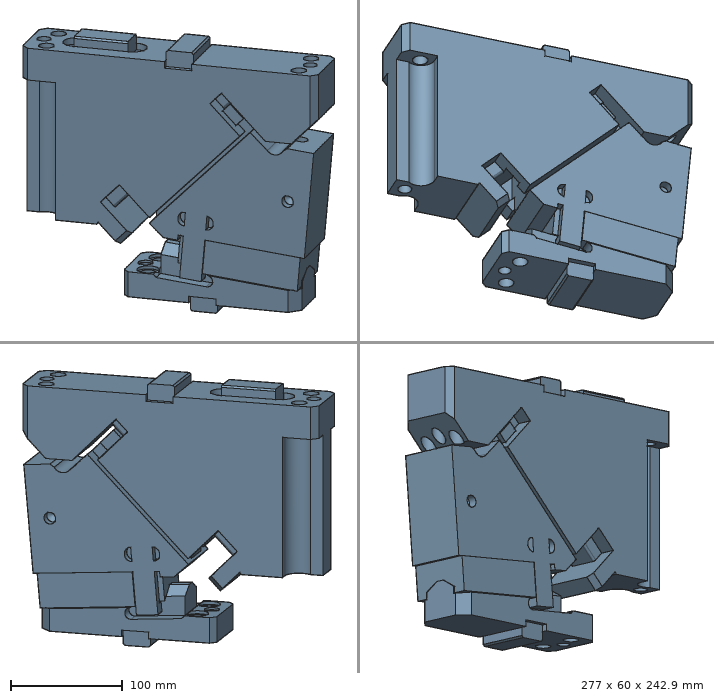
import cadquery as cq
import math


WIDTH = 60.0
SLIDER_WIDTH = 59.8
OUTSIDE = 110.8

KEY_LENGTH = 50.0
KEY_WIDTH = 25.5
KEY_STANDOFF = 9.1
KEY_SEAT_DEPTH = 6.0
KEY_CHAMFER = 1.7

INCLINE_X, INCLINE_Z = 120.5, 85.5
INCLINE_ANGLE = 45.0

TILT_X, TILT_Z = 171.7, 37.5
TILT_ANGLE = -5.0

NECK_HALF_WIDTH = 15.0
HEAD_HALF_WIDTH = 20.5
HEAD_BOTTOM = 9.5
HEAD_TOP = 27.1

RIDGE_HALF_WIDTH = 17.5
RIDGE_FLAT_HALF = 4.2
RIDGE_EAVE = 6.5
ROOF_SLOPE = math.tan(math.radians(30))
RIDGE_TOP = RIDGE_EAVE + (RIDGE_HALF_WIDTH - RIDGE_FLAT_HALF) * ROOF_SLOPE


def turned(origin_x, origin_z, angle, along, up):
    """XZ point of a position given in a frame turned by angle degrees."""
    c = math.cos(math.radians(angle))
    s = math.sin(math.radians(angle))
    return (origin_x + along * c - up * s, origin_z + along * s + up * c)


def incline(along, up):
    return turned(INCLINE_X, INCLINE_Z, INCLINE_ANGLE, along, up)


def tilt(along, up):
    return turned(TILT_X, TILT_Z, TILT_ANGLE, along, up)


def cross_plane(frame, angle, along):
    """Plane square to a frame's direction; its local X is +Y and its local Y is the frame's up."""
    x, z = frame(along, 0)
    direction = (math.cos(math.radians(angle)), 0, math.sin(math.radians(angle)))
    return cq.Plane(origin=(x, 0, z), xDir=(0, 1, 0), normal=direction)


def prism(points, half_width):
    """XZ outline extruded to both sides of Y = 0."""
    return cq.Workplane("XZ").polyline(points).close().extrude(half_width, both=True)


def side_pair(points, inner, outer):
    """The two slabs of a prism that lie between inner and outer distance from Y = 0."""
    return prism(points, outer).cut(prism(points, inner))


def frame_box(frame, along_0, along_1, up_0, up_1):
    """Corner points of a rectangle in a turned frame."""
    return [frame(along_0, up_0), frame(along_1, up_0), frame(along_1, up_1), frame(along_0, up_1)]


def chamfered_plan(x_0, x_1, left_chamfer, right_chamfer):
    """Tall block with the body's plan outline, corners cut at 45 degrees."""
    half = WIDTH / 2
    left_y = half - left_chamfer
    right_y = half - right_chamfer
    points = [(x_0, -left_y), (x_0 + left_chamfer, -half), (x_1 - right_chamfer, -half), (x_1, -right_y),
              (x_1, right_y), (x_1 - right_chamfer, half), (x_0 + left_chamfer, half), (x_0, left_y)]
    return cq.Workplane("XY").polyline(points).close().extrude(HOLDER_TOP + OUTSIDE)


def cross_key(center_x, face_z, direction):
    """Key bar standing on face_z; direction is +1 upward or -1 downward."""
    height = KEY_STANDOFF + KEY_SEAT_DEPTH
    middle = face_z + direction * (KEY_STANDOFF - height / 2)
    outer_face = ">Z" if direction > 0 else "<Z"
    key = cq.Workplane("XY").box(KEY_WIDTH, KEY_LENGTH, height).translate((center_x, 0, middle))
    return key.faces(outer_face).edges("|Y").chamfer(KEY_CHAMFER)


def key_seat(center_x, face_z):
    """Channel across the full width for a cross key."""
    seat = cq.Workplane("XY").box(KEY_WIDTH, WIDTH, 2 * KEY_SEAT_DEPTH)
    return seat.translate((center_x, 0, face_z))


def vertical_holes(places, diameter, bottom=0.0):
    """Upright cylinders that open at the top and start at the given bottom height."""
    holes = cq.Workplane("XY").pushPoints(places).circle(diameter / 2).extrude(HOLDER_TOP + OUTSIDE)
    return holes.translate((0, 0, bottom))


HOLDER_LENGTH = 277.0
HOLDER_TOP = 233.8
HOLDER_BOTTOM = 74.5
HOLDER_CHAMFER = 6.0
RIGHT_WALL_BOTTOM = 191.5
RIGHT_ARM_BOTTOM = 168.1
RIGHT_ARM_FOOT_X = 253.7

UPPER_SLOT_START, UPPER_SLOT_END = 120.0, 135.2
LOWER_SLOT_START, LOWER_SLOT_END = -25.2, 0.0
SLOT_DEPTH = 39.5
STOP_ARM_OUTSIDE = -40.5
STOP_ARM_ROOT = 27.7
STOP_ARM_ROOT_X = 71.0
STOP_ARM_CHAMFER = 5.0
RIB_EDGE_RADIUS = 2.0

HOLDER_KEY_X = 147.5
PAD_START, PAD_END = 44.3, 94.7
PAD_HALF_WIDTH = 12.7
POCKET_START, POCKET_END = 30.7, 108.3
POCKET_DEPTH = 6.0

FLANGE_BOTTOM = 204.0
RELIEF_DEPTH_X = 32.5
WEB_HALF_WIDTH = 12.0
WEB_LENGTH = 12.0
RELIEF_CENTER_Y = 22.5
RELIEF_RADIUS = 13.0

BOLT_INSET = 20.2
DOWEL_INSET = 12.2
RIGHT_DOWEL_INSET = 15.2
BOLT_Y = 18.0
BOLT_DIAMETER = 13.8
DOWEL_DIAMETER = 12.5


def holder_outline():
    upper_slot_foot_x = INCLINE_X + UPPER_SLOT_END * math.sqrt(2) - (RIGHT_ARM_BOTTOM - INCLINE_Z)
    return [
        (0, HOLDER_BOTTOM), (0, HOLDER_TOP), (HOLDER_LENGTH, HOLDER_TOP),
        (HOLDER_LENGTH, RIGHT_WALL_BOTTOM), (RIGHT_ARM_FOOT_X, RIGHT_ARM_BOTTOM),
        (upper_slot_foot_x, RIGHT_ARM_BOTTOM),
        incline(UPPER_SLOT_END, SLOT_DEPTH), incline(UPPER_SLOT_START, SLOT_DEPTH),
        incline(UPPER_SLOT_START, 0), incline(LOWER_SLOT_END, 0),
        incline(LOWER_SLOT_END, SLOT_DEPTH), incline(LOWER_SLOT_START, SLOT_DEPTH),
        incline(LOWER_SLOT_START, 0), incline(STOP_ARM_OUTSIDE, 0),
        incline(STOP_ARM_OUTSIDE, STOP_ARM_ROOT), (STOP_ARM_ROOT_X, HOLDER_BOTTOM),
    ]


def slot_rib(start, end):
    """Middle rib that fills the bottom of a cross slot, with rounded edges along its tip."""
    half = NECK_HALF_WIDTH
    inset = half - RIB_EDGE_RADIUS
    shoulder = HEAD_TOP + RIB_EDGE_RADIUS
    mid = RIB_EDGE_RADIUS * (1 - math.sqrt(0.5))
    profile = (
        cq.Workplane(cross_plane(incline, INCLINE_ANGLE, start)).moveTo(-half, SLOT_DEPTH)
        .lineTo(-half, shoulder)
        .threePointArc((-half + mid, HEAD_TOP + mid), (-inset, HEAD_TOP)).lineTo(inset, HEAD_TOP)
        .threePointArc((half - mid, HEAD_TOP + mid), (half, shoulder))
        .lineTo(half, SLOT_DEPTH).close()
    )
    return profile.extrude(end - start)


def t_slot():
    neck = prism(frame_box(incline, LOWER_SLOT_END, UPPER_SLOT_START, 0, HEAD_BOTTOM), NECK_HALF_WIDTH)
    head = prism(frame_box(incline, LOWER_SLOT_END, UPPER_SLOT_START, HEAD_BOTTOM, HEAD_TOP), HEAD_HALF_WIDTH)
    return neck.union(head)


def bolt_relief(side):
    """Upright recess under the left flange on one side (+1 or -1 in Y)."""
    height = FLANGE_BOTTOM
    center_x = RELIEF_DEPTH_X - RELIEF_RADIUS
    relief = cq.Workplane("XY").center(center_x, side * RELIEF_CENTER_Y).circle(RELIEF_RADIUS).extrude(height)
    for x_end, y_start in ((WEB_LENGTH, WEB_HALF_WIDTH), (RELIEF_DEPTH_X, RELIEF_CENTER_Y)):
        size_y = WIDTH / 2 - y_start
        block = cq.Workplane("XY").box(x_end, size_y, height, centered=False)
        shift_y = y_start if side > 0 else -WIDTH / 2
        relief = relief.union(block.translate((0, shift_y, 0)))
    return relief


def stop_arm_chamfer(side):
    """Wedge cut from one end corner of the lower stop arm."""
    edge = WIDTH / 2
    corner = [(side * edge, 0), (side * (edge - STOP_ARM_CHAMFER), 0), (side * edge, STOP_ARM_CHAMFER)]
    plane = cross_plane(incline, INCLINE_ANGLE, STOP_ARM_OUTSIDE)
    return cq.Workplane(plane).polyline(corner).close().extrude(LOWER_SLOT_START - STOP_ARM_OUTSIDE)


def locating_pad():
    """Raised pad standing in a round-ended pocket of the holder top."""
    height = KEY_STANDOFF + POCKET_DEPTH
    length = PAD_END - PAD_START
    pad = cq.Workplane("XY").box(length, 2 * PAD_HALF_WIDTH, height, centered=(False, True, False))
    pad = pad.faces(">Z").edges("|X").chamfer(KEY_CHAMFER)
    return pad.translate((PAD_START, 0, HOLDER_TOP - POCKET_DEPTH))


def pad_pocket():
    length = POCKET_END - POCKET_START
    middle = (POCKET_START + POCKET_END) / 2
    pocket = cq.Workplane("XY").slot2D(length, 2 * PAD_HALF_WIDTH).extrude(POCKET_DEPTH)
    return pocket.translate((middle, 0, HOLDER_TOP - POCKET_DEPTH))


def make_holder():
    body = prism(holder_outline(), WIDTH / 2)
    body = body.intersect(chamfered_plan(0, HOLDER_LENGTH, HOLDER_CHAMFER, HOLDER_CHAMFER))
    body = body.cut(t_slot())
    body = body.union(slot_rib(UPPER_SLOT_START, UPPER_SLOT_END))
    body = body.union(slot_rib(LOWER_SLOT_START, LOWER_SLOT_END))
    for side in (1, -1):
        body = body.cut(bolt_relief(side)).cut(stop_arm_chamfer(side))
    bolts = [(x, side * BOLT_Y) for x in (BOLT_INSET, HOLDER_LENGTH - BOLT_INSET) for side in (1, -1)]
    dowels = [(DOWEL_INSET, 0), (HOLDER_LENGTH - RIGHT_DOWEL_INSET, 0)]
    body = body.cut(vertical_holes(bolts, BOLT_DIAMETER)).cut(vertical_holes(dowels, DOWEL_DIAMETER))
    body = body.cut(pad_pocket()).union(locating_pad())
    body = body.cut(key_seat(HOLDER_KEY_X, HOLDER_TOP))
    return body.union(cross_key(HOLDER_KEY_X, HOLDER_TOP, 1))


LEDGE = -3.5
SLIDER_LOW_END, SLIDER_HIGH_END = -4.0, 130.0
NOSE_X = 122.2
SLIDER_RIGHT, SLIDER_TOP = 91.5, 132.0
TOE_BOTTOM = 27.1
TOE_START = -40.7
NOTCH_START = -27.5
PLATE_TOP = 32.0

GROOVE_START, GROOVE_BOTTOM, GROOVE_END = (231.0, 159.5), (237.0, 156.2), (245.7, 160.7)
TOP_FACE_START = 66.8

BLOCK_HALF_WIDTH = 22.5
PLATE_START, PLATE_END = -1.7, 87.5
PLATE_BOTTOM = 0.3
HOOK_INNER = 17.7
STRAP_START, STRAP_END = -22.5, -2.2
STRAP_BOTTOM = -7.5
HOOK_TOP = 1.7

PIN_POCKET_UP = 48.2
PIN_POCKET_DIAMETER = 13.0
SIDE_HOLE_ALONG, SIDE_HOLE_UP = 71.2, 82.5
SIDE_HOLE_DIAMETER = 10.8
SIDE_HOLE_DEPTH = 8.3
SIDE_HOLE_TIP = 3.3
TOP_HOLE_ALONG = 70.0
TOP_HOLE_DIAMETER = 12.5
TOP_HOLE_DEPTH = 13.8


def slider_main():
    """Main plate of the slider with the round relief in its top edge."""
    profile = (
        cq.Workplane("XZ").moveTo(*incline(SLIDER_LOW_END, LEDGE))
        .lineTo(*incline(SLIDER_HIGH_END, LEDGE)).lineTo(*GROOVE_START)
        .threePointArc(GROOVE_BOTTOM, GROOVE_END)
        .lineTo(*tilt(TOP_FACE_START, SLIDER_TOP)).lineTo(*tilt(SLIDER_RIGHT, SLIDER_TOP))
        .lineTo(*tilt(SLIDER_RIGHT, PLATE_TOP)).lineTo(*tilt(NOTCH_START, PLATE_TOP))
        .lineTo(*tilt(NOTCH_START, TOE_BOTTOM)).lineTo(*tilt(TOE_START, TOE_BOTTOM)).close()
    )
    return profile.extrude(SLIDER_WIDTH / 2, both=True)


def t_tongue():
    """T-shaped tongue that fills the holder's T-slot, cut upright at the nose."""
    neck = prism(frame_box(incline, SLIDER_LOW_END, SLIDER_HIGH_END, LEDGE, HEAD_BOTTOM), NECK_HALF_WIDTH)
    head = prism(frame_box(incline, -HEAD_TOP, SLIDER_HIGH_END, HEAD_BOTTOM, HEAD_TOP), HEAD_HALF_WIDTH)
    front = cq.Workplane("XY").box(OUTSIDE, WIDTH, 2 * HOLDER_TOP)
    front = front.translate((NOSE_X - OUTSIDE / 2, 0, HOLDER_TOP))
    return neck.union(head).cut(front)


def roof_profile(half_width, bottom):
    """Cross-section under the 30 degree roof, as (Y, height in the tilt frame) points."""
    eave = RIDGE_TOP - (half_width - RIDGE_FLAT_HALF) * ROOF_SLOPE
    return [(-half_width, bottom), (half_width, bottom), (half_width, eave),
            (RIDGE_FLAT_HALF, RIDGE_TOP), (-RIDGE_FLAT_HALF, RIDGE_TOP), (-half_width, eave)]


def tilted_bar(profile, start, end):
    """Bar along the tilt direction with a (Y, height) cross-section."""
    plane = cross_plane(tilt, TILT_ANGLE, start)
    return cq.Workplane(plane).polyline(profile).close().extrude(end - start)


def v_block():
    """Centre block below the main plate; its underside is the V-groove."""
    block = prism(frame_box(tilt, NOTCH_START, PLATE_END, 0, PLATE_TOP), BLOCK_HALF_WIDTH)
    return block.cut(tilted_bar(roof_profile(BLOCK_HALF_WIDTH, 0), NOTCH_START, PLATE_END))


def side_plates():
    """Outer plates that ride above the base shoulder on both sides of the ridge."""
    return side_pair(frame_box(tilt, PLATE_START, PLATE_END, PLATE_BOTTOM, PLATE_TOP), HOOK_INNER, WIDTH / 2)


def straps():
    """Hooked straps that reach past the shoulder of the base on both sides."""
    upright = side_pair(frame_box(tilt, STRAP_START, STRAP_END, STRAP_BOTTOM, PLATE_TOP),
                        BLOCK_HALF_WIDTH, SLIDER_WIDTH / 2)
    hook = side_pair(frame_box(tilt, STRAP_START, STRAP_END, STRAP_BOTTOM, HOOK_TOP),
                     HOOK_INNER, BLOCK_HALF_WIDTH)
    return upright.union(hook)


def cross_disc(along, up, radius, half_width):
    """Cylinder across the slider, centred on Y = 0."""
    return cq.Workplane("XZ").center(*tilt(along, up)).circle(radius).extrude(half_width, both=True)


def pin_pockets():
    """Half-round blind pockets on either side of the straps, in both side faces."""
    radius = PIN_POCKET_DIAMETER / 2
    discs = cross_disc(STRAP_START, PIN_POCKET_UP, radius, SLIDER_WIDTH / 2)
    discs = discs.union(cross_disc(STRAP_END, PIN_POCKET_UP, radius, SLIDER_WIDTH / 2))
    between = frame_box(tilt, STRAP_START, STRAP_END, PIN_POCKET_UP - radius, PIN_POCKET_UP + radius)
    around = frame_box(tilt, STRAP_START - radius, STRAP_END + radius,
                       PIN_POCKET_UP - radius, PIN_POCKET_UP + radius)
    return discs.cut(prism(between, WIDTH / 2)).cut(prism(around, BLOCK_HALF_WIDTH))


def side_hole(side):
    """Blind drilled hole with a conical end in one side face."""
    x, z = tilt(SIDE_HOLE_ALONG, SIDE_HOLE_UP)
    radius = SIDE_HOLE_DIAMETER / 2
    profile = [(0, 0), (radius, 0), (radius, SIDE_HOLE_DEPTH),
               (0, SIDE_HOLE_DEPTH + SIDE_HOLE_TIP)]
    drill = cq.Workplane("XY").polyline(profile).close().revolve(360, (0, 0, 0), (0, 1, 0))
    if side > 0:
        drill = drill.mirror("XZ")
    return drill.translate((x, side * SLIDER_WIDTH / 2, z))


def top_hole():
    """Blind hole in the slider's top, square to its tilted top face."""
    x, z = tilt(TOP_HOLE_ALONG, SLIDER_TOP - TOP_HOLE_DEPTH)
    axis = (-math.sin(math.radians(TILT_ANGLE)), 0, math.cos(math.radians(TILT_ANGLE)))
    plane = cq.Plane(origin=(x, 0, z), xDir=(0, 1, 0), normal=axis)
    return cq.Workplane(plane).circle(TOP_HOLE_DIAMETER / 2).extrude(2 * TOP_HOLE_DEPTH)


def make_slider():
    body = slider_main().union(t_tongue()).union(v_block()).union(side_plates()).union(straps())
    body = body.cut(pin_pockets()).cut(top_hole())
    for side in (1, -1):
        body = body.cut(side_hole(side))
    return body


BASE_START, BASE_END = 95.3, 260.0
BASE_BOTTOM = KEY_STANDOFF
BASE_TOP = 32.7
BASE_LEFT_CHAMFER = 5.3
BASE_RIGHT_CHAMFER = 10.0
BASE_KEY_X = 170.0
RIDGE_START = 127.1

STRAP_SLOT_X = 124.0
STRAP_SLOT_START = -44.0
STRAP_SLOT_FLOOR = -11.4
SHOULDER = -0.5
STRAP_SLOT_END_RADIUS = (SHOULDER - STRAP_SLOT_FLOOR) / 2
STRAP_SLOT_END = 3.0

COUNTERBORE_DIAMETER = 20.0
COUNTERBORE_DEPTH = 2.8
DOWEL_SEAT_DIAMETER = 13.3
DOWEL_SEAT_DEPTH = 2.0
DOWEL_PILOT_DIAMETER = 11.4


def base_plate():
    """Plate with the strap slots and the tilted shoulder along its top."""
    shoulder_x, shoulder_z = tilt(STRAP_SLOT_END, SHOULDER)
    end_z = shoulder_z + (BASE_END - shoulder_x) * math.tan(math.radians(TILT_ANGLE))
    profile = (
        cq.Workplane("XZ").moveTo(BASE_START, BASE_BOTTOM).lineTo(BASE_START, BASE_TOP)
        .lineTo(STRAP_SLOT_X, BASE_TOP).lineTo(*tilt(STRAP_SLOT_START, STRAP_SLOT_FLOOR))
        .lineTo(*tilt(STRAP_SLOT_END, STRAP_SLOT_FLOOR))
        .threePointArc(tilt(STRAP_SLOT_END + STRAP_SLOT_END_RADIUS, STRAP_SLOT_FLOOR + STRAP_SLOT_END_RADIUS),
                       tilt(STRAP_SLOT_END, SHOULDER))
        .lineTo(BASE_END, end_z).lineTo(BASE_END, BASE_BOTTOM).close()
    )
    plate = profile.extrude(WIDTH / 2, both=True)
    return plate.intersect(chamfered_plan(BASE_START, BASE_END, BASE_LEFT_CHAMFER, BASE_RIGHT_CHAMFER))


def v_ridge():
    """Roofed ridge along the middle of the plate with upright ends."""
    bar = tilted_bar(roof_profile(RIDGE_HALF_WIDTH, STRAP_SLOT_FLOOR), -OUTSIDE, OUTSIDE)
    length = BASE_END - RIDGE_START
    limits = cq.Workplane("XY").box(length, WIDTH, OUTSIDE).translate(
        (RIDGE_START + length / 2, 0, BASE_BOTTOM + OUTSIDE / 2))
    return bar.intersect(limits)


def make_base():
    body = base_plate().union(v_ridge())
    bolts = [(BASE_START + BOLT_INSET, side * BOLT_Y) for side in (1, -1)]
    dowels = [(BASE_START + DOWEL_INSET, 0)]
    body = body.cut(vertical_holes(bolts, BOLT_DIAMETER))
    body = body.cut(vertical_holes(dowels, DOWEL_PILOT_DIAMETER))
    body = body.cut(vertical_holes(bolts, COUNTERBORE_DIAMETER, BASE_TOP - COUNTERBORE_DEPTH))
    body = body.cut(vertical_holes(dowels, DOWEL_SEAT_DIAMETER, BASE_TOP - DOWEL_SEAT_DEPTH))
    body = body.cut(key_seat(BASE_KEY_X, BASE_BOTTOM))
    return body.union(cross_key(BASE_KEY_X, BASE_BOTTOM, -1))


holder = make_holder()
slider = make_slider()
base = make_base()
result = cq.Compound.makeCompound([holder.solids().val(), slider.solids().val(), base.solids().val()])